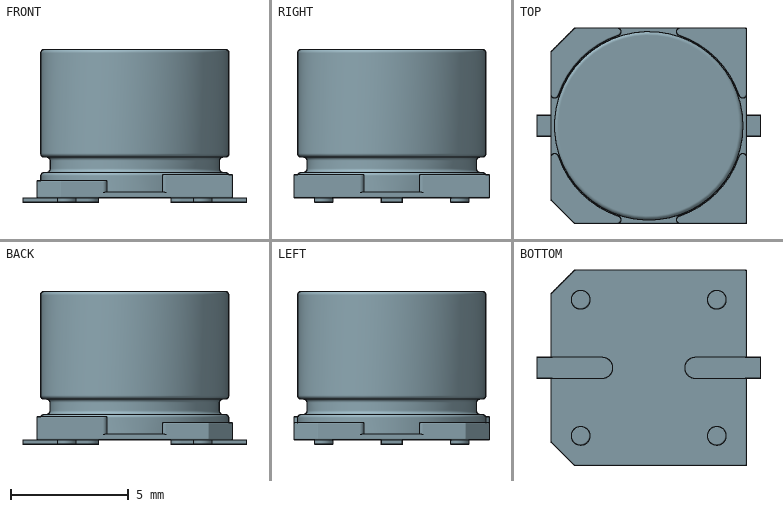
import cadquery as cq
import math

base_width = 8.3
base_half = base_width / 2
corner_cut = 1.01
base_bottom = 0.19
floor_top = 0.45
low_corner_top = 0.92
high_corner_top = 1.18
base_edge_radius = 0.05

can_radius = 4.0
can_top = 6.5
can_rim_radius = 0.16
groove_radius = 7.2 / 2
groove_bottom = 1.27
groove_top = 1.92
groove_round = 0.15

can_clearance = 0.05
pocket_radius = can_radius + can_clearance
wall_tip_radius = 0.16

lead_span = 9.5
lead_width = 0.9
lead_inner_end = 1.53
foot_diameter = 0.8
foot_offset = 2.89
foot_edge_radius = 0.05

margin = 0.095


def make_floor():
    """Thin square plate with the two -X corners cut off and all edges rounded."""
    plate = cq.Workplane("XY").workplane(offset=base_bottom).rect(base_width, base_width)
    plate = plate.extrude(floor_top - base_bottom)
    plate = plate.edges("|Z and <X").chamfer(corner_cut)
    plate = plate.edges("|Z").fillet(base_edge_radius)
    return plate.faces("<Z or >Z").edges().fillet(base_edge_radius)


def make_corner_wall(side_x, side_y, top, cut):
    """Corner block hugging the can, with round tips tangent to its outer faces and to the can pocket."""
    tip_edge = base_half - wall_tip_radius
    tip_along = math.sqrt((pocket_radius + wall_tip_radius) ** 2 - tip_edge**2)
    tip_nose = tip_along - wall_tip_radius
    to_pocket = pocket_radius / (pocket_radius + wall_tip_radius)
    touch_near = tip_along * to_pocket
    touch_far = tip_edge * to_pocket
    middle = pocket_radius / math.sqrt(2)

    def at(x, y):
        return side_x * x, side_y * y

    wall_bottom = base_bottom + base_edge_radius
    outline = cq.Workplane("XY").workplane(offset=wall_bottom).moveTo(*at(tip_along, base_half))
    if cut:
        outline = outline.lineTo(*at(base_half - cut, base_half))
        outline = outline.lineTo(*at(base_half, base_half - cut))
    else:
        outline = outline.lineTo(*at(base_half, base_half))
    outline = (
        outline.lineTo(*at(base_half, tip_along))
        .threePointArc(at(tip_edge, tip_nose), at(touch_far, touch_near))
        .threePointArc(at(middle, middle), at(touch_near, touch_far))
        .threePointArc(at(tip_nose, tip_edge), at(tip_along, base_half))
        .close()
    )
    wall = outline.extrude(top - wall_bottom)
    far_side = base_half + margin
    near_side = base_half - corner_cut - margin
    outer_corner = cq.selectors.BoxSelector((*at(far_side, far_side), 0), (*at(near_side, near_side), top))
    wall = wall.edges("|Z").edges(outer_corner).fillet(base_edge_radius)
    return wall.faces(">Z").edges().fillet(base_edge_radius)


def make_can():
    """Round can with a rolled groove near its foot."""
    can_bottom = (base_bottom + floor_top) / 2
    can = cq.Workplane("XY").workplane(offset=can_bottom).circle(can_radius)
    can = can.extrude(can_top - can_bottom)
    can = can.faces(">Z").edges().fillet(can_rim_radius)
    groove = cq.Workplane("XY").workplane(offset=groove_bottom)
    groove = groove.circle(can_radius + margin).circle(groove_radius)
    can = can.cut(groove.extrude(groove_top - groove_bottom))
    groove_edges = cq.selectors.BoxSelector(
        (-base_half, -base_half, groove_bottom - margin),
        (base_half, base_half, groove_top + margin),
    )
    return can.edges("%CIRCLE").edges(groove_edges).fillet(groove_round)


def make_lead(side):
    """Flat strip under the base with a semicircular inner end."""
    end_center = lead_inner_end + lead_width / 2
    length = lead_span / 2 - end_center
    strip = cq.Workplane("XY").center(side * (end_center + length / 2), 0).rect(length, lead_width)
    strip = strip.extrude(base_bottom)
    round_end = cq.Workplane("XY").center(side * end_center, 0).circle(lead_width / 2)
    return strip.union(round_end.extrude(base_bottom))


def make_feet():
    """Four round standoffs with rounded edges at both ends."""
    feet = cq.Workplane("XY").rect(2 * foot_offset, 2 * foot_offset, forConstruction=True)
    feet = feet.vertices()
    feet = feet.circle(foot_diameter / 2).extrude(base_bottom)
    return feet.faces("<Z or >Z").edges().fillet(foot_edge_radius)


result = make_floor().union(make_can()).union(make_feet())
for side_y in (-1, 1):
    result = result.union(make_corner_wall(-1, side_y, low_corner_top, corner_cut))
    result = result.union(make_corner_wall(1, side_y, high_corner_top, 0))
for side_x in (-1, 1):
    result = result.union(make_lead(side_x))